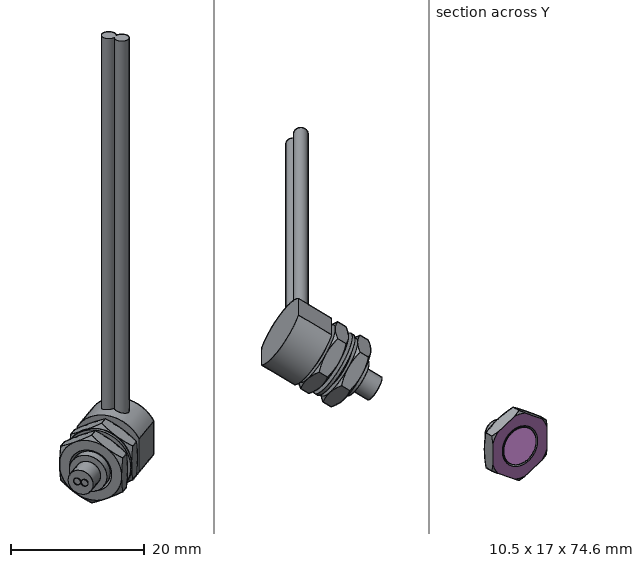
import cadquery as cq
import math


housing_length = 6.0
housing_diameter = 11.5
across_flats = 10.0
barrel_diameter = 6.05
barrel_end_depth = 14.0
tip_diameter = 4.0
overall_length = 17.0

fibre_diameter = 1.1
fibre_pitch = 1.2
fibre_recess_depth = 0.15

gap_behind_nut = 0.635
gap_ahead_of_rear_nut = 0.5
nut_thickness = 2.4
nut_sides = 6
nut_face_diameter = across_flats
nut_corner_diameter = across_flats / math.cos(math.pi / nut_sides)
nut_chamfer_angle = 30
bore_chamfer = 0.4
washer_diameter = 10.5
washer_thickness = 0.5

overall_height = 74.6
cable_diameter = 2.25
cable_pitch = 2.1
cable_depth = 3.05
cable_top = overall_height - nut_corner_diameter / 2

rear_nut_depth = housing_length + gap_behind_nut
washer_depth = rear_nut_depth + nut_thickness + gap_ahead_of_rear_nut
front_nut_depth = washer_depth + washer_thickness + gap_behind_nut


def plane_at(depth):
    """Sketch plane facing -Y at a given depth: local x is +X, local y is +Z."""
    return cq.Workplane("XZ", origin=(0, -depth, 0))


def cylinder(diameter, start_depth, end_depth):
    """Cylinder on the sensor axis between two depths."""
    return plane_at(start_depth).circle(diameter / 2).extrude(end_depth - start_depth)


def cone_frustum(start_diameter, end_diameter, start_depth, end_depth):
    """Frustum on the sensor axis between two depths."""
    profile = cq.Workplane("XY").polyline([
        (0, -start_depth),
        (start_diameter / 2, -start_depth),
        (end_diameter / 2, -end_depth),
        (0, -end_depth),
    ]).close()
    return profile.revolve(360, (0, 0), (0, 1))


def make_housing():
    """Round housing with two side flats."""
    flat_block = plane_at(0).rect(across_flats, housing_diameter).extrude(housing_length)
    return cylinder(housing_diameter, 0, housing_length).intersect(flat_block)


def make_cables():
    """Two round cables that merge along their length."""
    cables = cq.Workplane("XY")
    for side in (-1, 1):
        base = cq.Workplane("XY", origin=(side * cable_pitch / 2, -cable_depth, 0))
        cables = cables.union(base.circle(cable_diameter / 2).extrude(cable_top))
    return cables


def make_fibre_recesses():
    """Cutters for the two recesses in the tip face."""
    floor = plane_at(overall_length - fibre_recess_depth)
    centres = [(-fibre_pitch / 2, 0), (fibre_pitch / 2, 0)]
    return floor.pushPoints(centres).circle(fibre_diameter / 2).extrude(fibre_recess_depth)


def make_sensor():
    """Housing, stepped barrel and moulded-in cables as one body."""
    sensor = make_housing()
    sensor = sensor.union(cylinder(barrel_diameter, housing_length, barrel_end_depth))
    sensor = sensor.union(cylinder(tip_diameter, barrel_end_depth, overall_length))
    sensor = sensor.union(make_cables())
    return sensor.cut(make_fibre_recesses())


def make_nut(depth):
    """Hexagon nut with corners up and down, chamfered corners and a chamfered bore."""
    end_depth = depth + nut_thickness
    hexagon = plane_at(depth).polygon(nut_sides, nut_corner_diameter).extrude(nut_thickness)
    nut = hexagon.rotate((0, 0, 0), (0, 1, 0), 90)

    cone_growth = nut_thickness / math.tan(math.radians(nut_chamfer_angle))
    cone_base_diameter = nut_face_diameter + 2 * cone_growth
    nut = nut.intersect(cone_frustum(nut_face_diameter, cone_base_diameter, depth, end_depth))
    nut = nut.intersect(cone_frustum(cone_base_diameter, nut_face_diameter, depth, end_depth))

    mouth_diameter = barrel_diameter + 2 * bore_chamfer
    nut = nut.cut(cylinder(barrel_diameter, depth, end_depth))
    nut = nut.cut(cone_frustum(mouth_diameter, barrel_diameter, depth, depth + bore_chamfer))
    return nut.cut(cone_frustum(barrel_diameter, mouth_diameter, end_depth - bore_chamfer, end_depth))


def make_washer():
    """Flat washer fitting the barrel."""
    ring = plane_at(washer_depth).circle(washer_diameter / 2).circle(barrel_diameter / 2)
    return ring.extrude(washer_thickness)


sensor = make_sensor()
nuts = [make_nut(depth) for depth in (rear_nut_depth, front_nut_depth)]
washer = make_washer()

result = cq.Compound.makeCompound([sensor.val(), *[nut.val() for nut in nuts], washer.val()])